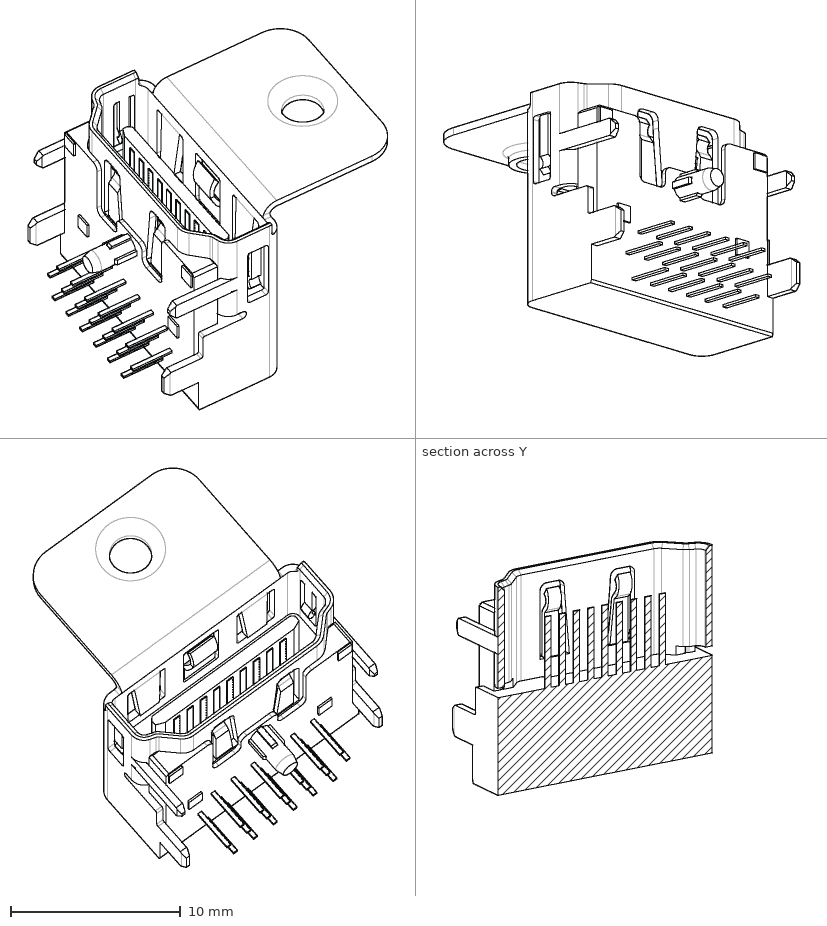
import cadquery as cq
import math


width = 15.0
height = 12.9
sheet = 0.47
half_width = width / 2
inner_half = half_width - sheet

base_top = 6.07
body_front = -5.96
block_top = 11.11
block_back = -4.34
block_chamfer = 0.2
block_back_chamfer = 0.1
shell_clearance = 0.09
bottom_chamfer = (0.07, 0.2)

shell_front = -5.58
shell_outline = [(half_width, 0), (half_width, -3.95), (6.38, -4.32), (5.1, shell_front)]
back_radius = 1.0
side_radius = 0.95
waist_radius = 0.36
front_radius = 1.08
mouth_chamfer = 0.27

slit_height = 0.56
slit_end = -2.6
slit_round = 0.25
slit_inner = 5.67
wall_step_front = -5.65
wall_step_bottom = 4.32
step_round = 0.13

flange_width = 11.96
flange_end = 9.18
flange_corner = 1.99
bend_radius = 0.5
relief_level = 11.98
relief_front = -0.8
relief_radius = 0.18
hole_radius = 1.25
hole_edge = 3.0
collar_round = 0.81
collar_bottom = 11.7

pin_pitch = 1.5
pin_width = 0.29
pin_thickness = 0.15
pin_end = -8.71
pin_rows = [(3.98, 6, pin_pitch / 6), (2.48, 7, 0.0), (0.98, 6, -pin_pitch / 6)]

peg_z = 7.5
peg_radius = 0.69
peg_end = -8.89
peg_tip = (0.15, 0.52)
rib_radius = 0.81
rib_width = 0.4
rib_end = -7.45
rib_chamfer = 0.13

groove_half = 3.1
groove_width = 0.3
groove_depth = 0.9

tongue_top = 10.93
tongue_outline = [(5.22, -2.37), (5.42, -2.57), (5.42, -2.93), (4.86, -3.16)]
contact_count = 9
contact_pitch = 2 * pin_pitch / 3
contact_width = 0.45
contact_height = 0.05
contact_top = tongue_top - 0.43

window_round = 0.18
window_bottom = 7.17
spring_sheet = 0.29
side_window_y = (-2.51, -1.07)
side_window_z = (window_bottom, 11.37)
side_spring_y = (-2.13, -1.45)
side_spring_bend = 8.84
side_spring_curl = 0.75
side_spring_tip = 7.77
side_spring_dip = 0.25

spring_gap = 0.05
spring_lean = 0.23
spring_bend = 0.36
spring_tip = 0.42
spring_root = 0.15
inner_curl_drop = 0.15

front_window_outline = [
    (-3.3, window_bottom), (-3.3, 11.84), (-1.65, 11.84), (-1.59, 10.95), (-1.26, window_bottom),
]
front_window_round = 0.43
front_spring_outline = [(-2.93, 6.87), (-2.93, 11.56), (-2.05, 11.56), (-1.99, 10.3), (-1.63, 6.87)]
front_dip = 0.78
front_dip_z = 10.72
front_curl_half = 0.4

back_window_top = 11.11
back_window_half = 1.32
back_spring_half = [(1.14, 6.87), (1.14, 8.67), (0.9, 9.4), (0.9, back_window_top)]
back_dip = 0.9
back_dip_z = 9.69
back_curl_half = 0.75
outer_window_x = (2.71, 5.53)
outer_spring_top_x = (3.07, 5.02)
outer_spring_tip_x = (3.32, 4.77)
outer_spring_tip = 7.59
outer_spring_reach = 0.23

recess_outer = 3.5
recess_inner = 1.4
recess_bottom = window_bottom
recess_middle = 8.55
recess_round = 0.43

upper_lock_z = (8.75, 9.81)
upper_lock_root = -3.22
upper_lock_end = -7.88
upper_lock_tip = 0.4
upper_lock_taper = 0.38
lower_lock_z = (2.37, wall_step_bottom)
lower_lock_end = -8.31
lower_lock_tip = 0.43
lower_lock_taper = 0.33
lock_tip_side = 0.1
lock_side_delay = 0.09

pad_size = 1.0
pad_height = 0.13
pads = [(6.38, 10.48), (4.9, 4.86)]


def box(x, y, z):
    """Box from (min, max) pairs along each axis."""
    return cq.Workplane("XY").box(
        x[1] - x[0], y[1] - y[0], z[1] - z[0], centered=False
    ).translate((x[0], y[0], z[0]))


def both_sides(solid):
    return solid.union(solid.mirror("YZ"))


def mirrored_outline(half):
    """Closed outline from its points on the +X half."""
    return half + [(-x, y) for x, y in reversed(half)]


def xz_prism(points, y_front, y_back):
    """Prism along Y with its outline given as (x, z) points."""
    plane = cq.Workplane("XZ", origin=(0, y_back, 0))
    return plane.polyline(points).close().extrude(y_back - y_front)


def yz_prism(points, x_min, x_max):
    """Prism along X with its outline given as (y, z) points."""
    plane = cq.Workplane("YZ", origin=(x_min, 0, 0))
    return plane.polyline(points).close().extrude(x_max - x_min)


def quarter_arc_middle(center, radius):
    """Middle of the upper left quarter of a circle."""
    step = radius * math.sqrt(0.5)
    return (center[0] - step, center[1] + step)


def edges_near(solid, direction, point):
    """Edges along a direction whose centre is at the point or its mirror image in X."""
    reach = 0.02
    target = cq.Vector(*point)
    edges = solid.edges(direction)
    near = []
    for edge in edges.vals():
        center = edge.Center()
        if (cq.Vector(abs(center.x), center.y, center.z) - target).Length < reach:
            near.append(edge)
    return solid.newObject(near)


def make_base():
    base = box((-half_width, half_width), (body_front, 0), (0, base_top))
    base = base.faces(">Y").edges("|Z").fillet(back_radius)
    run, rise = bottom_chamfer
    wedge = [(body_front, 0), (body_front + run, 0), (body_front, rise)]
    base = base.cut(yz_prism(wedge, -half_width, half_width))
    step = box((inner_half, half_width), (body_front, wall_step_front), (wall_step_bottom, base_top))
    step = step.edges("|X").edges(">Y").edges("<Z").fillet(step_round)
    base = base.cut(both_sides(step))
    step_top = ((inner_half + half_width) / 2, wall_step_front, base_top)
    return edges_near(base, "|X", step_top).fillet(step_round)


def make_block(shell):
    block = box((-inner_half, inner_half), (body_front, block_back), (base_top, block_top))
    block = block.faces(">Z").edges("|Y").chamfer(block_chamfer)
    block = block.faces(">Z").edges(">Y").chamfer(block_back_chamfer)
    around_shell = shell.faces("<Z").wires().toPending().offset2D(shell_clearance)
    block = block.cut(around_shell.extrude(height - base_top, combine=False))
    block = block.cut(both_sides(make_recess()))
    recess_depth_middle = (body_front + shell_front - shell_clearance) / 2
    for x, z in [(recess_outer, block_top), (recess_inner, recess_middle)]:
        block = edges_near(block, "|Y", (x, recess_depth_middle, z)).fillet(recess_round)
    return block


def shell_prism():
    prism = cq.Workplane("XY").workplane(offset=base_top)
    prism = prism.polyline(mirrored_outline(shell_outline)).close().extrude(height - base_top)
    mid_height = (base_top + height) / 2
    radii = [back_radius, side_radius, waist_radius, front_radius]
    for (x, y), radius in zip(shell_outline, radii):
        prism = edges_near(prism, "|Z", (x, y, mid_height)).fillet(radius)
    return prism


def make_cavity(shell):
    section = shell.faces("<Z").wires().toPending()
    cavity = section.offset2D(-sheet).extrude(height - base_top, combine=False)
    rim = shell.faces(">Z").wires().toPending().offset2D(mouth_chamfer - sheet)
    rim = rim.extrude(-mouth_chamfer, taper=45, combine=False)
    return cavity.union(rim)


def make_slit():
    """Slit through the side wall, rounded at its inner end."""
    slit = box((slit_inner, half_width), (block_back, slit_end), (base_top, base_top + slit_height))
    return slit.edges("|X").edges(">Y").fillet(slit_round)


def make_relief():
    """Clearance beside the flange at the top of the back wall and corner."""
    relief_back = bend_radius + sheet
    relief = box((flange_width / 2, half_width), (relief_front, relief_back), (relief_level, height))
    relief = relief.edges("|X").edges("<Y").edges("<Z").fillet(relief_radius)
    return relief.edges("|Y").edges("<X").edges("<Z").fillet(relief_radius)


def make_flange():
    """Flange bent from the back wall, with fillets where its sides meet the wall top."""
    bend_center = (bend_radius, height - sheet - bend_radius)
    outer_radius = bend_radius + sheet
    flange_half = flange_width / 2
    sheet_half = flange_half + relief_radius
    leg = box((-sheet_half, sheet_half), (-sheet, 0), (base_top, bend_center[1]))
    plane = cq.Workplane("YZ", origin=(-sheet_half, 0, 0))
    bend = (
        plane.moveTo(-sheet, bend_center[1])
        .threePointArc(
            quarter_arc_middle(bend_center, outer_radius),
            (bend_radius, height),
        )
        .lineTo(bend_radius, height - sheet)
        .threePointArc(
            quarter_arc_middle(bend_center, bend_radius),
            (0, bend_center[1]),
        )
        .close()
        .extrude(2 * sheet_half)
    )
    plate = box((-flange_half, flange_half), (bend_radius, flange_end), (height - sheet, height))
    plate = plate.faces(">Y").edges("|Z").fillet(flange_corner)
    return leg.union(bend).cut(both_sides(make_relief())).union(plate)


def make_collar(flange):
    """Drawn collar around the flange hole."""
    outer = hole_radius + sheet
    round_center = (hole_radius + collar_round, height - collar_round)
    under_round = collar_round - sheet
    plane = cq.Workplane("XZ", origin=(0, flange_end - hole_edge, 0))
    collar = (
        plane.moveTo(hole_radius, collar_bottom)
        .lineTo(hole_radius, round_center[1])
        .threePointArc(
            quarter_arc_middle(round_center, collar_round),
            (round_center[0], height),
        )
        .lineTo(round_center[0], height - sheet)
        .threePointArc(
            quarter_arc_middle(round_center, under_round),
            (outer, round_center[1]),
        )
        .lineTo(outer, collar_bottom)
        .close()
        .revolve(360, (0, 0, 0), (0, 1, 0))
    )
    opening = (
        cq.Workplane("XY", origin=(0, flange_end - hole_edge, 0))
        .circle(round_center[0])
        .extrude(height)
    )
    return flange.cut(opening).union(collar)


def make_recess():
    """Half of the recess: one spring slot joined to the shallower middle step."""
    slot = [
        (-recess_outer, block_top), (-recess_outer, recess_bottom), (-recess_inner, recess_bottom),
        (-recess_inner, recess_middle), (0, recess_middle), (0, block_top),
    ]
    recess = xz_prism(slot, body_front, shell_front)
    return recess.edges("|Y").edges("<Z").fillet(recess_round)


def side_window():
    window = box((inner_half, half_width), side_window_y, side_window_z)
    return window.edges("|X").fillet(window_round)


def side_spring():
    """Spring hanging in the side window, dipping into the cavity above its tip."""
    outer = inner_half + spring_sheet
    dip = side_spring_dip
    dip_z = side_spring_bend - side_spring_curl / 2
    plane = cq.Workplane("XZ", origin=(0, side_spring_y[1], 0))
    return (
        plane.moveTo(outer, side_window_z[1])
        .lineTo(outer, side_spring_bend)
        .threePointArc((outer - dip, dip_z), (outer, side_spring_bend - side_spring_curl))
        .lineTo(inner_half, side_spring_tip)
        .threePointArc((inner_half - dip, dip_z), (inner_half, side_spring_bend))
        .lineTo(inner_half, side_window_z[1])
        .close()
        .extrude(side_spring_y[1] - side_spring_y[0])
    )


def curled_spring(outline, face_y, inward, dip, dip_z, curl_half):
    """Spring rising from the floor of a window, dipping into the cavity and turning back at its tip.

    The outline gives its breadth as (x, z) points. The outer wall face is at face_y and inward
    (+1 or -1) points into the cavity along Y. The dip is deepest at dip_z, by dip from that face.
    """
    def at(depth, rise):
        return (face_y + inward * depth, dip_z + rise)

    knee = -curl_half - spring_bend
    root = window_bottom - dip_z - spring_root
    lean = spring_gap + spring_lean
    plane = cq.Workplane("YZ", origin=(-half_width, 0, 0))
    side = (
        plane.moveTo(*at(spring_gap, root))
        .lineTo(*at(spring_gap, knee))
        .lineTo(*at(lean, -curl_half))
        .threePointArc(at(dip - spring_sheet, 0), at(lean, curl_half))
        .lineTo(*at(lean + spring_sheet, curl_half + spring_tip))
        .threePointArc(at(dip, 0), at(lean + spring_sheet, -curl_half - inner_curl_drop))
        .lineTo(*at(spring_gap + spring_sheet, knee))
        .lineTo(*at(spring_gap + spring_sheet, root))
        .close()
        .extrude(width)
    )
    near, far = sorted([face_y, face_y + 2 * inward * dip])
    return side.intersect(xz_prism(outline, near, far))


def front_window():
    window = xz_prism(front_window_outline, shell_front, shell_front + sheet)
    return window.edges("|Y").edges(">Z").fillet(front_window_round)


def front_spring():
    return curled_spring(front_spring_outline, shell_front, 1, front_dip, front_dip_z, front_curl_half)


def back_spring():
    outline = mirrored_outline(back_spring_half)
    return curled_spring(outline, 0, -1, back_dip, back_dip_z, back_curl_half)


def back_window(x):
    return box(x, (-sheet, 0), (window_bottom, back_window_top)).edges("|Y").fillet(window_round)


def hanging_spring():
    """Nearly flat spring hanging in an outer back window, leaning into the cavity."""
    lean = -sheet - outer_spring_reach
    profile = [
        (0, back_window_top), (-sheet, back_window_top),
        (lean, outer_spring_tip), (lean + sheet, outer_spring_tip),
    ]
    (top_min, top_max), (tip_min, tip_max) = outer_spring_top_x, outer_spring_tip_x
    outline = [
        (top_min, back_window_top), (top_max, back_window_top),
        (tip_max, outer_spring_tip), (tip_min, outer_spring_tip),
    ]
    return yz_prism(profile, top_min, top_max).intersect(xz_prism(outline, lean, sheet))


def board_lock(root, end, z, tip, taper):
    """Locking leg in the plane of the side wall with a tip tapered all round."""
    root_to_tip = [
        (root, z[0]), (end + tip, z[0]), (end, z[0] + taper),
        (end, z[1] - taper), (end + tip, z[1]), (root, z[1]),
    ]
    side_start = end + tip - lock_side_delay
    across = [
        (inner_half, root), (inner_half, side_start), (inner_half + lock_tip_side, end),
        (half_width - lock_tip_side, end), (half_width, side_start), (half_width, root),
    ]
    leg = yz_prism(root_to_tip, inner_half, half_width)
    return leg.intersect(cq.Workplane("XY").polyline(across).close().extrude(height))


def make_peg():
    """Locating peg with a tapered tip and four crush ribs."""
    length = body_front - peg_end
    plane = cq.Workplane("XZ", origin=(0, body_front, peg_z))
    peg = plane.circle(peg_radius).extrude(length)
    peg = peg.faces("<Y").chamfer(peg_tip[1], peg_tip[0])
    rib_length = body_front - rib_end
    for size in [(2 * rib_radius, rib_width), (rib_width, 2 * rib_radius)]:
        ribs = plane.rect(*size).extrude(rib_length)
        ends = ribs.faces("<Y").edges("|Z" if size[0] > size[1] else "|X")
        peg = peg.union(ends.chamfer(rib_chamfer))
    return peg


def make_pins():
    pins = cq.Workplane("XY")
    for z, count, center_x in pin_rows:
        for i in range(count):
            x = center_x + (i - (count - 1) / 2) * pin_pitch
            pins = pins.union(
                cq.Workplane("XZ", origin=(x, body_front, z))
                .rect(pin_width, pin_thickness)
                .extrude(body_front - pin_end)
            )
    return pins


def make_groove():
    """Groove in the cavity floor along the front wall, with a sloped far side."""
    wall = shell_front + sheet
    slope = [(wall, base_top), (wall + groove_width, base_top), (wall, base_top - groove_depth)]
    return yz_prism(slope, -groove_half, groove_half)


def make_pads():
    pad_set = cq.Workplane("XY")
    for x, z in pads:
        plane = cq.Workplane("XZ", origin=(x, body_front, z))
        pad_set = pad_set.union(plane.rect(pad_size, pad_size).extrude(pad_height))
    return both_sides(pad_set)


def make_tongue():
    plane = cq.Workplane("XY", origin=(0, 0, base_top))
    tongue = plane.polyline(mirrored_outline(tongue_outline)).close().extrude(tongue_top - base_top)
    underside = tongue_outline[-1][1]
    for i in range(contact_count):
        x = (i - (contact_count - 1) / 2) * contact_pitch
        contact = box(
            (x - contact_width / 2, x + contact_width / 2),
            (underside - contact_height, underside),
            (base_top, contact_top),
        )
        tongue = tongue.union(contact)
    return tongue


shell = shell_prism()
result = make_base().union(make_block(shell))
result = result.union(shell).cut(make_cavity(shell)).cut(make_groove())
result = result.cut(both_sides(make_slit())).cut(both_sides(make_relief()))
back_notch = box((-flange_width / 2, flange_width / 2), (relief_front, 0), (relief_level, height))
result = result.cut(back_notch).union(make_collar(make_flange()))

result = result.cut(both_sides(side_window())).union(both_sides(side_spring()))
result = result.cut(both_sides(front_window())).union(both_sides(front_spring()))
result = result.cut(back_window((-back_window_half, back_window_half)))
result = result.union(back_spring())
result = result.cut(both_sides(back_window(outer_window_x))).union(both_sides(hanging_spring()))

upper_lock = board_lock(upper_lock_root, upper_lock_end, upper_lock_z, upper_lock_tip, upper_lock_taper)
lower_lock = board_lock(body_front, lower_lock_end, lower_lock_z, lower_lock_tip, lower_lock_taper)
result = result.union(both_sides(upper_lock.union(lower_lock)))
result = result.union(make_peg()).union(make_pins()).union(make_pads()).union(make_tongue())